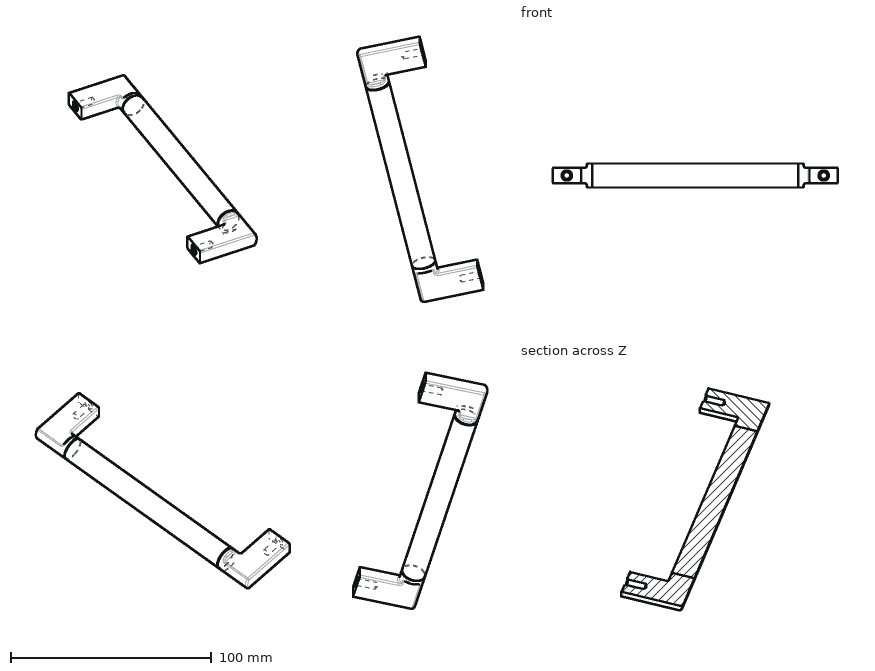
import cadquery as cq

length = 142.0
reach = 32.1
grip_diameter = 12.0
leg_width = 14.0
leg_thickness = 8.0
step_distance = 16.9
joint_distance = 19.6
edge_round = 0.9
step_fillet = 0.9
corner_fillet = 0.7
grip_chamfer = 0.3
hole_diameter = 3.4
hole_mouth_diameter = 5.1
hole_depth = 10.0
cone_height = 1.0

grip_radius = grip_diameter / 2
half_thickness = leg_thickness / 2
leg_outer_x = -length / 2
leg_inner_x = leg_outer_x + leg_width
leg_centre_x = leg_outer_x + leg_width / 2
step_x = leg_outer_x + step_distance
joint_x = leg_outer_x + joint_distance
mount_y = grip_radius - reach


def rod(x_start, x_end):
    """Round bar on the grip axis."""
    return cq.Workplane("YZ", origin=(x_start, 0, 0)).circle(grip_radius).extrude(x_end - x_start)


def leg_block():
    """Straight leg from the mounting face up to the grip axis."""
    return cq.Workplane("XY").box(leg_width, -mount_y, leg_thickness).translate((leg_centre_x, mount_y / 2, 0))


def neck_and_collar():
    """Round bar cut flat above and below, with hollow steps up to the full-round collar."""
    hollow_x = step_x - step_fillet
    hollow_z = half_thickness + step_fillet
    flattened = (
        cq.Workplane("XZ")
        .moveTo(leg_outer_x, half_thickness)
        .lineTo(hollow_x, half_thickness)
        .radiusArc((step_x, hollow_z), -step_fillet)
        .lineTo(step_x, grip_diameter)
        .lineTo(joint_x, grip_diameter)
        .lineTo(joint_x, -grip_diameter)
        .lineTo(step_x, -grip_diameter)
        .lineTo(step_x, -hollow_z)
        .radiusArc((hollow_x, -half_thickness), -step_fillet)
        .lineTo(leg_outer_x, -half_thickness)
        .close()
        .extrude(grip_diameter, both=True)
    )
    return rod(leg_outer_x, joint_x).intersect(flattened)


def fillet_corner(body):
    """Fillet the inner corner where the leg meets the underside of the neck."""
    underside = (leg_inner_x, -grip_radius, 0)
    corner = cq.selectors.NearestToPointSelector(underside)
    return body.edges(corner).fillet(corner_fillet)


def round_outer_edges(body):
    """Round the outer end face and the whole outline of the flat sides.

    The outline is tangent from the leg along the neck and around the collar step,
    so its straight neck edges are enough to select it. The mounting face stays sharp.
    """
    end_edges = body.faces("<X").edges("not <Y")
    neck_edges = body.edges("|X and (not <Y) and (not >Y)")
    return end_edges.add(neck_edges).fillet(edge_round)


def screw_hole():
    """Blind hole with a countersunk mouth, along Y from the mounting face."""
    hole_radius = hole_diameter / 2
    mouth_radius = hole_mouth_diameter / 2
    profile = [
        (0, 0),
        (mouth_radius, 0),
        (hole_radius, mouth_radius - hole_radius),
        (hole_radius, hole_depth),
        (0, hole_depth + cone_height),
    ]
    hole = cq.Workplane("XY").polyline(profile).close().revolve(360, (0, 0, 0), (0, 1, 0))
    return hole.translate((leg_centre_x, mount_y, 0))


def make_leg():
    """Left leg with its neck and collar in one piece."""
    body = neck_and_collar().union(leg_block())
    body = fillet_corner(body)
    body = round_outer_edges(body)
    return body.cut(screw_hole())


def make_grip():
    """Round grip between the two collars, bevelled at both ends."""
    return rod(joint_x, -joint_x).faces("<X or >X").edges().chamfer(grip_chamfer)


grip = make_grip()
left_leg = make_leg()
right_leg = left_leg.mirror("YZ")

result = cq.Compound.makeCompound([grip.val(), left_leg.val(), right_leg.val()])